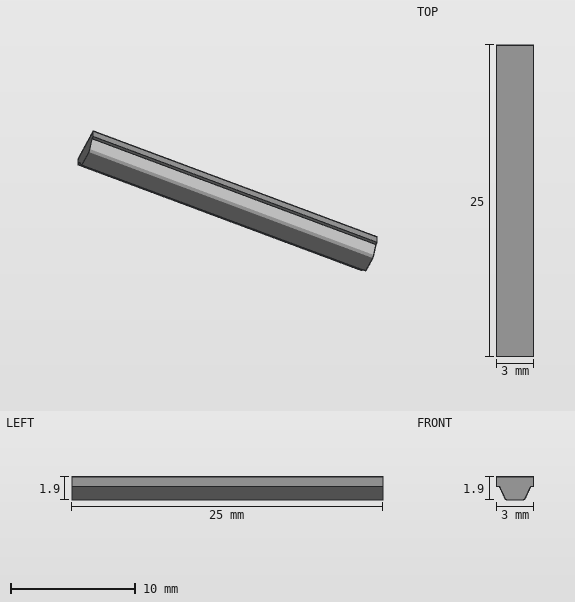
import cadquery as cq
import math

length = 25.0
bar_width = 3.0
total_height = 1.9

bar_height = 0.8
tooth_tip_width = 1.5
flank_angle = 25.0
tip_radius = 0.3

tooth_height = total_height - bar_height
tooth_root_width = tooth_tip_width + 2 * tooth_height * math.tan(math.radians(flank_angle))


def make_bar():
    """Rectangular bar along Y, sitting on the root of the tooth."""
    bar = cq.Workplane("XY").box(bar_width, length, bar_height, centered=(True, True, False))
    return bar.translate((0, 0, tooth_height))


def make_tooth():
    """Trapezoidal tooth along Y, with its two lower edges rounded."""
    outline = [
        (-tooth_root_width / 2, tooth_height),
        (-tooth_tip_width / 2, 0),
        (tooth_tip_width / 2, 0),
        (tooth_root_width / 2, tooth_height),
    ]
    tooth = cq.Workplane("XZ").polyline(outline).close().extrude(length / 2, both=True)
    return tooth.faces("<Z").edges("|Y").fillet(tip_radius)


result = make_bar().union(make_tooth())